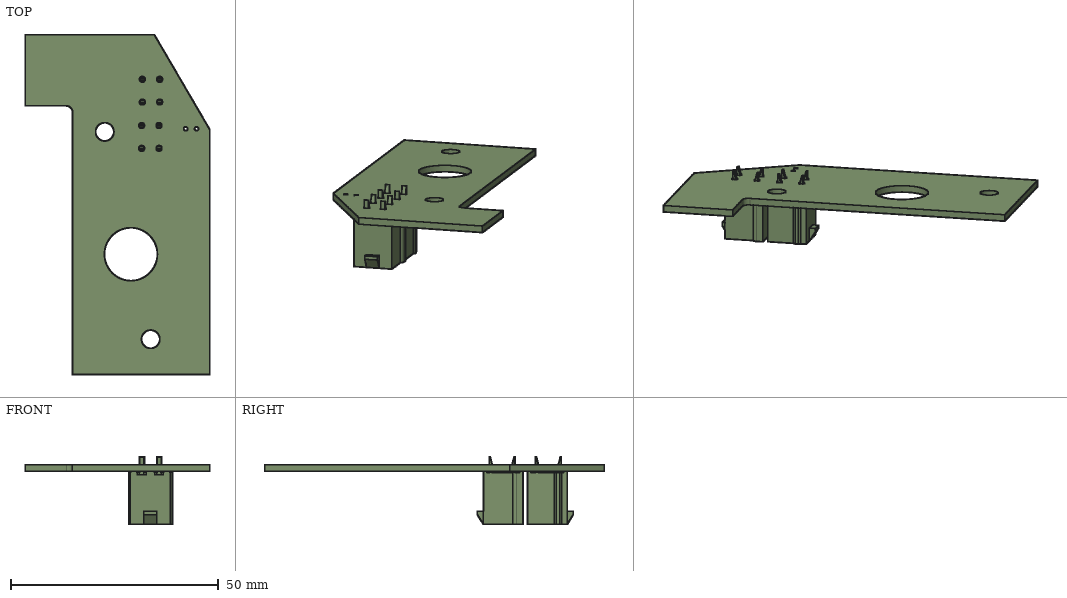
import cadquery as cq

board_length = 81.8
board_width = 44.4
board_thickness = 1.6
notch_width = 11.4
notch_top = 64.6
notch_fillet = 1.5
slant_start_x = 31.1
slant_end_y = 59.0

large_hole_diameter = 12.7
large_hole_center = (25.4, 28.95)
mount_hole_diameter = 4.3
mount_hole_centers = [(19.1, 58.4), (30.2, 8.5)]
small_hole_diameter = 0.9
small_hole_centers = [(38.6, 59.1), (41.2, 59.1)]
pin_hole_diameter = 1.4

housing_size = 9.6
housing_height = 12.8
relief_depth = 0.25
relief_width = 7.8

latch_width = 3.2
latch_height = 3.2
latch_lip = 0.8
latch_reach = 1.5

rib_offset = 2.5
rib_base_width = 1.9
rib_top_width = 0.8
rib_height = 0.4
shoulder_start = 2.3
shoulder_height = 0.6
shoulder_round_length = 0.9

pin_pitch_x = 4.2
pin_pitch_y = 5.5
pin_row_shift = 0.25
pin_width = 1.1
pin_depth = 0.7
pin_tip_depth = 0.25
pin_rise = 1.9
pin_slot_width = 2.1
pin_slot_depth = 0.8
pin_slot_clearance = 0.5

lower_connector = (30.1, 57.4, 0)
upper_connector = (30.3, 68.05, 1)
connector_places = [lower_connector, upper_connector]

half_size = housing_size / 2
pin_columns = [-pin_pitch_x / 2, pin_pitch_x / 2]
latch_row_y = -pin_row_shift - pin_pitch_y / 2
inner_row_y = -pin_row_shift + pin_pitch_y / 2


def make_pin(x, y, outward):
    """Pin with an upright outer face and an inner face that slopes above the board."""
    outer_y = y + outward * pin_depth / 2
    inner_y = y - outward * pin_depth / 2
    tip_inner_y = outer_y - outward * pin_tip_depth
    tip_z = board_thickness + pin_rise
    profile = [
        (outer_y, -pin_slot_depth),
        (outer_y, tip_z),
        (tip_inner_y, tip_z),
        (inner_y, board_thickness),
        (inner_y, -pin_slot_depth),
    ]
    return (
        cq.Workplane("YZ", origin=(x, 0, 0))
        .polyline(profile)
        .close()
        .extrude(pin_width / 2, both=True)
    )


def make_latch():
    """Wedge with a flat top at the lower end of the latch side."""
    bottom_z = -housing_height
    top_z = bottom_z + latch_height
    profile = [
        (-half_size, bottom_z),
        (-half_size, top_z),
        (-half_size - latch_reach, top_z),
        (-half_size - latch_reach, top_z - latch_lip),
    ]
    return cq.Workplane("YZ").polyline(profile).close().extrude(latch_width / 2, both=True)


def make_guide_rib():
    """Upright trapezoidal rib on the -X flank."""
    profile = [
        (-half_size, -rib_offset - rib_base_width / 2),
        (-half_size - rib_height, -rib_offset - rib_top_width / 2),
        (-half_size - rib_height, -rib_offset + rib_top_width / 2),
        (-half_size, -rib_offset + rib_base_width / 2),
    ]
    return cq.Workplane("XY").polyline(profile).close().extrude(-housing_height)


def make_shoulder():
    """Raised strip on the +X flank, led in by an arc that ends tangent to its outer face."""
    outer_x = half_size + shoulder_height
    arc_radius = (shoulder_round_length**2 + shoulder_height**2) / (2 * shoulder_height)
    return (
        cq.Workplane("XY")
        .moveTo(half_size, shoulder_start)
        .radiusArc((outer_x, shoulder_start + shoulder_round_length), -arc_radius)
        .lineTo(outer_x, half_size)
        .lineTo(half_size, half_size)
        .close()
        .extrude(-housing_height)
    )


def make_connector():
    """Housing and its four pins as one solid, centered on the origin with the latch toward -Y."""
    housing = (
        cq.Workplane("XY")
        .box(housing_size, housing_size, housing_height)
        .translate((0, 0, -housing_height / 2))
    )
    housing = housing.union(make_latch()).union(make_guide_rib()).union(make_shoulder())

    relief_length = 2 * housing_size
    housing = housing.cut(cq.Workplane("XY").box(relief_length, relief_width, 2 * relief_depth))

    slot_end_y = latch_row_y + pin_depth / 2 + pin_slot_clearance
    slot_length = slot_end_y + half_size
    slot_center_y = slot_end_y - slot_length / 2
    slots = (
        cq.Workplane("XY")
        .pushPoints([(x, slot_center_y) for x in pin_columns])
        .rect(pin_slot_width, slot_length)
        .extrude(-pin_slot_depth)
    )
    housing = housing.cut(slots)

    for x in pin_columns:
        housing = housing.union(make_pin(x, latch_row_y, -1))
        housing = housing.union(make_pin(x, inner_row_y, 1))
    return housing


def place_connector(place):
    x, y, half_turns = place
    turn = 180 * half_turns
    return make_connector().rotate((0, 0, 0), (0, 0, 1), turn).translate((x, y, 0))


def pin_hole_centers(place):
    """Board positions of the four pins of one connector; a half turn flips both signs."""
    x, y, half_turns = place
    sign = (-1) ** half_turns
    rows = [latch_row_y, inner_row_y]
    return [(x + sign * column, y + sign * row) for column in pin_columns for row in rows]


def drill(board, centers, diameter):
    holes = cq.Workplane("XY").pushPoints(centers).circle(diameter / 2).extrude(board_thickness)
    return board.cut(holes)


def make_board():
    outline = [
        (notch_width, 0),
        (board_width, 0),
        (board_width, slant_end_y),
        (slant_start_x, board_length),
        (0, board_length),
        (0, notch_top),
        (notch_width, notch_top),
    ]
    board = cq.Workplane("XY").polyline(outline).close().extrude(board_thickness)
    inner_corner = cq.selectors.NearestToPointSelector((notch_width, notch_top, board_thickness / 2))
    board = board.edges("|Z").edges(inner_corner).fillet(notch_fillet)

    board = drill(board, [large_hole_center], large_hole_diameter)
    board = drill(board, mount_hole_centers, mount_hole_diameter)
    board = drill(board, small_hole_centers, small_hole_diameter)
    for place in connector_places:
        board = drill(board, pin_hole_centers(place), pin_hole_diameter)
    return board


board = make_board()
connectors = [place_connector(place) for place in connector_places]

result = cq.Compound.makeCompound([board.val(), *[connector.val() for connector in connectors]])